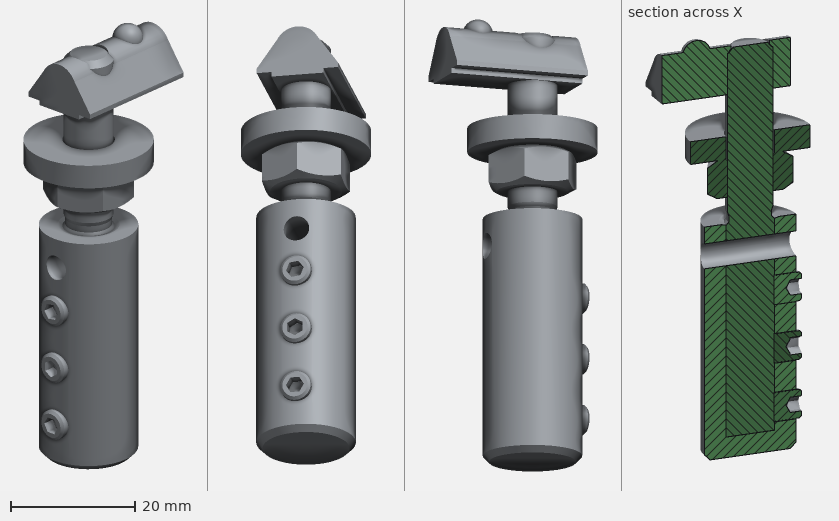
import cadquery as cq
import math

SLEEVE_DIA = 16.0
SLEEVE_HEIGHT = 40.0
SLEEVE_CHAMFER = 1.0
BORE_FLOOR = 3.6
COUNTERSINK_DIA = 9.95
COUNTERSINK_DEPTH = 0.2
CROSS_HOLE_DIA = 4.2
CROSS_HOLE_Z = SLEEVE_HEIGHT - 5.05

SHANK_DIA = 8.4
STUD_DIA = 8.0
UNDERCUT_DIA = 7.6
UNDERCUT_BOTTOM_Z = SLEEVE_HEIGHT + 0.2
UNDERCUT_TOP_Z = 41.3
THREAD_START_Z = 41.95
STUD_TOP_Z = 70.05
STUD_TIP_CHAMFER = 1.0

SCREW_DIA = 5.0
SCREW_FACE_DIA = 4.1
SCREW_FACE_Y = -9.0
SCREW_PITCH = 10.0
LOWEST_SCREW_Z = 7.5
SOCKET_WIDTH = 2.5
SOCKET_DEPTH = 2.0
SOCKET_CONE_DEPTH = 0.7
SOCKET_TURNS = (0, 30, 8)

COLLAR_DIA = 21.0
COLLAR_THICKNESS = 4.0
COLLAR_BORE_DIA = 8.4
HEX_WIDTH = 13.0
HEX_HEIGHT = 6.5
HEX_FACE_DIA = 11.5
HEX_CHAMFER_ANGLE = 30
HEX_BOTTOM_Z = 44.5

SLOT_NUT_BACK_Y = 15.39
SLOT_NUT_LENGTH = 22.4
SLOT_NUT_BOTTOM_Z = 62.0
SHOULDER_Z = 62.8
WEDGE_EDGE_Z = 63.6
CROWN_START_Z = 68.3
CROWN_TOP_Z = 70.35
FOOT_WIDTH = 8.5
WEDGE_WIDTH = 13.3
CROWN_WIDTH = 6.6
CROWN_HOLE_DIA = 6.6
BALL_DIA = 5.0
BALL_Y = 9.4
BALL_TOP_Z = 72.1

SCREW_HEIGHTS = [LOWEST_SCREW_Z + i * SCREW_PITCH for i in range(len(SOCKET_TURNS))]
SCREW_TIP_Y = -SHANK_DIA / 2


def cylinder(dia, bottom_z, top_z):
    return cq.Workplane("XY").workplane(offset=bottom_z).circle(dia / 2).extrude(top_z - bottom_z)


def revolved(profile):
    """Turn a closed (radius, z) outline around the Z axis."""
    return cq.Workplane("XZ").polyline(profile).close().revolve(360, (0, 0), (0, 1))


def cross_hole():
    """Cutter along Y, shared by the sleeve and the shank inside it."""
    return (cq.Workplane("XZ").center(0, CROSS_HOLE_Z)
            .circle(CROSS_HOLE_DIA / 2).extrude(SLEEVE_DIA, both=True))


def make_sleeve():
    sleeve = cylinder(SLEEVE_DIA, 0, SLEEVE_HEIGHT).faces("<Z").chamfer(SLEEVE_CHAMFER)
    sleeve = sleeve.cut(cylinder(SHANK_DIA, BORE_FLOOR, SLEEVE_HEIGHT))
    countersink = revolved([
        (0, SLEEVE_HEIGHT - COUNTERSINK_DEPTH),
        (SHANK_DIA / 2, SLEEVE_HEIGHT - COUNTERSINK_DEPTH),
        (COUNTERSINK_DIA / 2, SLEEVE_HEIGHT),
        (0, SLEEVE_HEIGHT),
    ])
    sleeve = sleeve.cut(countersink).cut(cross_hole())
    for z in SCREW_HEIGHTS:
        screw_hole = cq.Workplane("XZ").center(0, z).circle(SCREW_DIA / 2).extrude(SLEEVE_DIA)
        sleeve = sleeve.cut(screw_hole)
    return sleeve


def make_stud():
    shank_top_z = UNDERCUT_BOTTOM_Z - (SHANK_DIA - UNDERCUT_DIA) / 2
    stud = revolved([
        (0, BORE_FLOOR),
        (SHANK_DIA / 2, BORE_FLOOR),
        (SHANK_DIA / 2, shank_top_z),
        (UNDERCUT_DIA / 2, UNDERCUT_BOTTOM_Z),
        (UNDERCUT_DIA / 2, UNDERCUT_TOP_Z),
        (STUD_DIA / 2, THREAD_START_Z),
        (STUD_DIA / 2, STUD_TOP_Z - STUD_TIP_CHAMFER),
        (STUD_DIA / 2 - STUD_TIP_CHAMFER, STUD_TOP_Z),
        (0, STUD_TOP_Z),
    ])
    return stud.cut(cross_hole())


def make_set_screw(z, socket_turn):
    """Set screw along Y with a hexagon socket that ends in a shallow cone."""
    face = cq.Workplane("XZ", origin=(0, SCREW_FACE_Y, z))
    length = SCREW_TIP_Y - SCREW_FACE_Y
    socket_dia = SOCKET_WIDTH / math.cos(math.radians(30))
    screw = (face.circle(SCREW_DIA / 2).extrude(-length)
             .faces("<Y").chamfer((SCREW_DIA - SCREW_FACE_DIA) / 2))
    socket = (face.transformed(rotate=(0, 0, socket_turn))
              .polygon(6, socket_dia).extrude(-SOCKET_DEPTH))
    socket_end = cq.Solid.makeCone(
        SOCKET_WIDTH / 2, 0, SOCKET_CONE_DEPTH,
        cq.Vector(0, SCREW_FACE_Y + SOCKET_DEPTH, z), cq.Vector(0, 1, 0))
    return screw.cut(socket).cut(cq.Workplane(socket_end))


def make_collar_nut():
    hex_top_z = HEX_BOTTOM_Z + HEX_HEIGHT
    collar_top_z = hex_top_z + COLLAR_THICKNESS
    hex_dia = HEX_WIDTH / math.cos(math.radians(30))
    chamfer_height = (hex_dia - HEX_FACE_DIA) / 2 * math.tan(math.radians(HEX_CHAMFER_ANGLE))
    hexagon = (cq.Workplane("XY").workplane(offset=HEX_BOTTOM_Z)
               .transformed(rotate=(0, 0, 90)).polygon(6, hex_dia).extrude(HEX_HEIGHT))
    chamfer_envelope = revolved([
        (0, HEX_BOTTOM_Z),
        (HEX_FACE_DIA / 2, HEX_BOTTOM_Z),
        (hex_dia / 2, HEX_BOTTOM_Z + chamfer_height),
        (hex_dia / 2, hex_top_z - chamfer_height),
        (HEX_FACE_DIA / 2, hex_top_z),
        (0, hex_top_z),
    ])
    nut = hexagon.intersect(chamfer_envelope).union(cylinder(COLLAR_DIA, hex_top_z, collar_top_z))
    nut = nut.cut(cylinder(STUD_DIA, HEX_BOTTOM_Z, hex_top_z))
    return nut.cut(cylinder(COLLAR_BORE_DIA, hex_top_z, collar_top_z))


def make_slot_nut(stud):
    body = (cq.Workplane("XZ", origin=(0, SLOT_NUT_BACK_Y, 0))
            .moveTo(-FOOT_WIDTH / 2, SLOT_NUT_BOTTOM_Z)
            .lineTo(FOOT_WIDTH / 2, SLOT_NUT_BOTTOM_Z)
            .lineTo(FOOT_WIDTH / 2, SHOULDER_Z)
            .lineTo(WEDGE_WIDTH / 2, SHOULDER_Z)
            .lineTo(WEDGE_WIDTH / 2, WEDGE_EDGE_Z)
            .lineTo(CROWN_WIDTH / 2, CROWN_START_Z)
            .threePointArc((0, CROWN_TOP_Z), (-CROWN_WIDTH / 2, CROWN_START_Z))
            .lineTo(-WEDGE_WIDTH / 2, WEDGE_EDGE_Z)
            .lineTo(-WEDGE_WIDTH / 2, SHOULDER_Z)
            .lineTo(-FOOT_WIDTH / 2, SHOULDER_Z)
            .close().extrude(SLOT_NUT_LENGTH))
    ball = (cq.Workplane("XY").sphere(BALL_DIA / 2)
            .translate((0, BALL_Y, BALL_TOP_Z - BALL_DIA / 2)))
    crown_hole = cylinder(CROWN_HOLE_DIA, SLOT_NUT_BOTTOM_Z, BALL_TOP_Z)
    return body.union(ball).cut(crown_hole).cut(stud)


sleeve = make_sleeve()
stud = make_stud()
collar_nut = make_collar_nut()
slot_nut = make_slot_nut(stud)
set_screws = [make_set_screw(z, turn) for z, turn in zip(SCREW_HEIGHTS, SOCKET_TURNS)]

result = cq.Compound.makeCompound([
    *sleeve.solids().vals(),
    *stud.solids().vals(),
    *collar_nut.solids().vals(),
    *slot_nut.solids().vals(),
    *[screw.solids().val() for screw in set_screws],
])